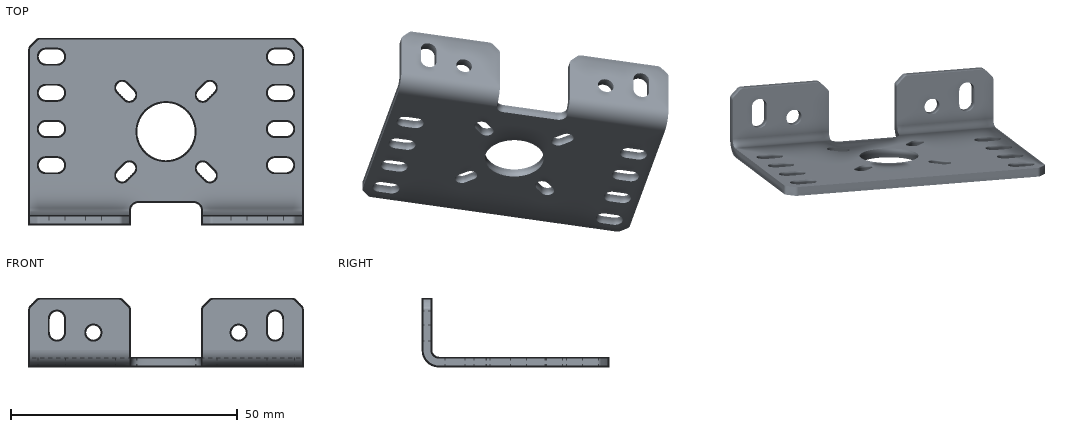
import cadquery as cq
import math

width = 60.4
depth = 41.0
height = 15.0
thickness = 2.0
rear_y = depth / 2
front_y = -depth / 2

bend_inner_radius = 1.65
bend_outer_radius = bend_inner_radius + thickness

notch_width = 15.8
notch_depth = 4.95
notch_corner_radius = 1.8

corner_cut = 2.0
corner_round = 1.0

bore_diameter = 13.0
mount_slot_offset = 8.9
mount_slot_width = 3.0
mount_slot_length = 5.25
fixing_width = 3.5
side_slot_length = 6.0
side_slot_edge_distance = 4.95
side_slot_rear_distance = 4.0
side_slot_pitch = 8.0
side_slot_count = 4

flange_hole_z = 7.5
flange_slot_edge_distance = 6.15
flange_hole_edge_distance = 14.2
flange_slot_length = 6.6


def bent_sheet():
    """L-shaped sheet of constant thickness, extruded across the full width."""
    inner_arc_step = bend_inner_radius * math.sqrt(0.5)
    outer_arc_step = bend_outer_radius * math.sqrt(0.5)
    bend_y = front_y + bend_outer_radius
    bend_z = bend_outer_radius
    return (
        cq.Workplane("YZ", origin=(-width / 2, 0, 0))
        .moveTo(rear_y, 0)
        .lineTo(bend_y, 0)
        .threePointArc((bend_y - outer_arc_step, bend_z - outer_arc_step), (front_y, bend_z))
        .lineTo(front_y, height)
        .lineTo(front_y + thickness, height)
        .lineTo(front_y + thickness, bend_z)
        .threePointArc((bend_y - inner_arc_step, bend_z - inner_arc_step), (bend_y, thickness))
        .lineTo(rear_y, thickness)
        .close()
        .extrude(width)
    )


def flange_notch():
    """Block that removes the middle of the bend, with rounded inner corners."""
    return (
        cq.Workplane("XY")
        .rect(notch_width, 2 * notch_depth)
        .extrude(height)
        .edges("|Z")
        .fillet(notch_corner_radius)
        .translate((0, front_y, 0))
    )


def mirrored_spots(spots):
    """Each spot together with its mirror image across the YZ plane."""
    return [(side * x, y) for side in (-1, 1) for x, y in spots]


def base_holes():
    """Central bore, four diagonal slots around it and a row of slots along each side."""
    plane = cq.Workplane("XY")
    cutter = plane.circle(bore_diameter / 2).extrude(thickness)
    for x_side in (-1, 1):
        for y_side in (-1, 1):
            cutter = cutter.union(
                plane.center(x_side * mount_slot_offset, y_side * mount_slot_offset)
                .slot2D(mount_slot_length, mount_slot_width, 45 * x_side * y_side)
                .extrude(thickness)
            )
    side_spots = [
        (width / 2 - side_slot_edge_distance, rear_y - side_slot_rear_distance - i * side_slot_pitch)
        for i in range(side_slot_count)
    ]
    side_slots = (
        plane.pushPoints(mirrored_spots(side_spots))
        .slot2D(side_slot_length, fixing_width)
        .extrude(thickness)
    )
    return cutter.union(side_slots)


def flange_holes():
    """One upright slot and one round hole in each flange, level at their lower ends."""
    plane = cq.Workplane("XZ", origin=(0, front_y + thickness, 0))
    slot_z = flange_hole_z + (flange_slot_length - fixing_width) / 2
    slots = (
        plane.pushPoints(mirrored_spots([(width / 2 - flange_slot_edge_distance, slot_z)]))
        .slot2D(flange_slot_length, fixing_width, 90)
        .extrude(thickness)
    )
    rounds = (
        plane.pushPoints(mirrored_spots([(width / 2 - flange_hole_edge_distance, flange_hole_z)]))
        .circle(fixing_width / 2)
        .extrude(thickness)
    )
    return slots.union(rounds)


def cut_corners(body):
    """Chamfer the rear plate corners and the upper flange corners, then round the chamfer edges."""
    body = body.faces(">Y").edges("|Z").chamfer(corner_cut)
    body = body.faces(">Z").edges("|Y").chamfer(corner_cut)
    body = body.faces("%PLANE").faces("#Z").faces("not(|X or |Y)").edges("|Z").fillet(corner_round)
    return body.faces("%PLANE").faces("#Y").faces("not(|X or |Z)").edges("|Y").fillet(corner_round)


result = bent_sheet().cut(flange_notch())
result = cut_corners(result)
result = result.cut(base_holes()).cut(flange_holes())